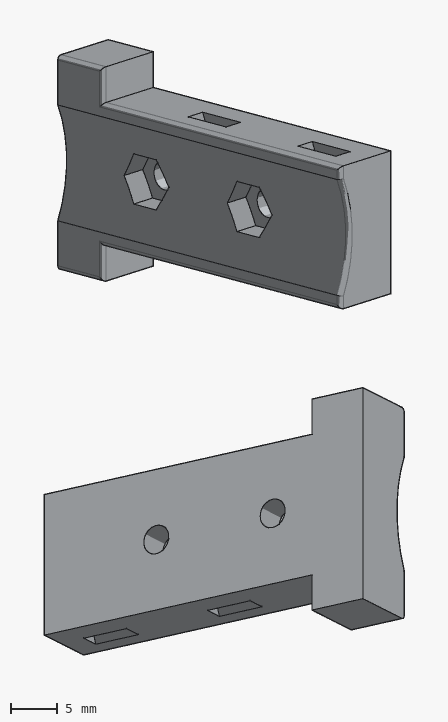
import cadquery as cq
import math

length = 41
thickness = 8.0
body_height = 16
flange_length = 6.55
flange_height = 24.0
edge_radius = 0.5
tolerance = 0.005

feature_count = 2

cradle_half_width = 6.48
cradle_depth = 1.4
cradle_radius = (cradle_half_width**2 + cradle_depth**2) / (2 * cradle_depth)
cradle_axis_y = cradle_depth - cradle_radius

hole_diameter = 3.2
first_hole_x = 11.6
hole_spacing = 14.95
hex_across_flats = 5.6

slot_width = 5.5
first_slot_x = 19.35
slot_spacing = 15.9
slot_mouth_front_y = 2.55
slot_mouth_back_y = 4.85


def make_block():
    """T-shaped block, centred on z = 0."""
    flange = cq.Workplane("XY").box(flange_length, thickness, flange_height, centered=(False, False, True))
    body = cq.Workplane("XY").box(length, thickness, body_height, centered=(False, False, True))
    return flange.union(body)


def x_cylinder(radius, start_x, span):
    """Cylinder along X about the cradle axis."""
    axis_plane = cq.Workplane("YZ", origin=(start_x, cradle_axis_y, 0))
    return axis_plane.circle(radius).extrude(span)


def slot_radius(mouth_y):
    """Radius of a slot wall that meets the body sides at the given y."""
    return math.hypot(mouth_y - cradle_axis_y, body_height / 2)


def make_slot(center_x):
    start_x = center_x - slot_width / 2
    outer = x_cylinder(slot_radius(slot_mouth_back_y), start_x, slot_width)
    inner = x_cylinder(slot_radius(slot_mouth_front_y), start_x, slot_width)
    return outer.cut(inner)


def make_screw_hole(center_x):
    """Through hole and a nut pocket with a curved floor, both entering from the front face."""
    front = cq.Workplane("XZ", origin=(center_x, 0, 0))
    hole = front.circle(hole_diameter / 2).extrude(-thickness)
    hex_across_corners = hex_across_flats / math.cos(math.pi / 6)
    curved_floor = x_cylinder(
        slot_radius(slot_mouth_front_y),
        center_x - hex_across_corners / 2,
        hex_across_corners,
    )
    pocket = front.polygon(6, hex_across_corners).extrude(-thickness).intersect(curved_floor)
    return hole.union(pocket)


result = make_block().cut(x_cylinder(cradle_radius, 0, length))


def is_rounded(edge):
    center = edge.Center()
    box = edge.BoundingBox()
    on_front = box.ymax < tolerance
    at_flange_end = box.xmax < tolerance
    along_cradle = on_front and math.isclose(abs(center.z), cradle_half_width, abs_tol=tolerance)
    cradle_rim = edge.geomType() == "CIRCLE"
    return (on_front or cradle_rim) and not at_flange_end and not along_cradle


rounded_edges = [edge for edge in result.edges().vals() if is_rounded(edge)]
result = result.newObject(rounded_edges).fillet(edge_radius)

for index in range(feature_count):
    result = result.cut(make_screw_hole(first_hole_x + index * hole_spacing))
    result = result.cut(make_slot(first_slot_x + index * slot_spacing))